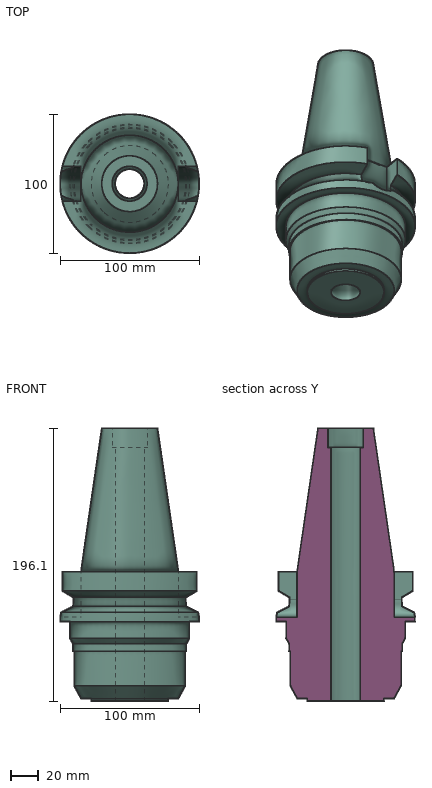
import cadquery as cq

total_height = 196.1
flange_radius = 50.0

lip_radius = 27.7
lip_height = 1.8
nose_tip_radius = 35.0
nose_radius = 40.0
nose_chamfer_top = 11.2
band_radius = 40.8
band_bottom = 35.7
band_top = 41.2
collar_radius = 43.0
collar_bottom = 45.1

flange_bottom = 57.0
lower_rim_top = 63.7
groove_radius = 42.4
groove_bottom = 68.0
groove_top = 74.5
upper_rim_bottom = 79.2
flange_top = 93.1

taper_base_radius = 35.0
taper_base = 94.3
taper_rate = 7 / 24
taper_tip_radius = taper_base_radius - (total_height - taper_base) * taper_rate / 2

bore_radius = 10.4
counterbore_radius = 12.5
counterbore_depth = 13.7

key_width = 25.3
key_bottom = 60.5
key_floor_x = 35.1


def turned_body():
    """Solid of revolution for the nose, flange and taper."""
    profile = [
        (0, 0),
        (lip_radius, 0),
        (lip_radius, lip_height),
        (nose_tip_radius, lip_height),
        (nose_radius, nose_chamfer_top),
        (nose_radius, band_bottom),
        (band_radius, band_bottom),
        (band_radius, band_top),
        (collar_radius, collar_bottom),
        (collar_radius, flange_bottom),
        (flange_radius, flange_bottom),
        (flange_radius, lower_rim_top),
        (groove_radius, groove_bottom),
        (groove_radius, groove_top),
        (flange_radius, upper_rim_bottom),
        (flange_radius, flange_top),
        (taper_base_radius, flange_top),
        (taper_base_radius, taper_base),
        (taper_tip_radius, total_height),
        (0, total_height),
    ]
    return cq.Workplane("XZ").polyline(profile).close().revolve(360, (0, 0, 0), (0, 1, 0))


def keyway(side):
    """Round-bottomed slot cutter, open at the flange top; side is +1 or -1 along X."""
    half_width = key_width / 2
    arc_center_z = key_bottom + half_width
    return (
        cq.Workplane("YZ", origin=(side * key_floor_x, 0, 0))
        .moveTo(-half_width, total_height)
        .lineTo(-half_width, arc_center_z)
        .threePointArc((0, key_bottom), (half_width, arc_center_z))
        .lineTo(half_width, total_height)
        .close()
        .extrude(side * flange_radius)
    )


def stepped_bore():
    """Through bore with its counterbore at the tip of the taper."""
    bore = cq.Workplane("XY").circle(bore_radius).extrude(total_height)
    counterbore = (
        cq.Workplane("XY", origin=(0, 0, total_height - counterbore_depth))
        .circle(counterbore_radius)
        .extrude(counterbore_depth)
    )
    return bore.union(counterbore)


result = turned_body().cut(stepped_bore())
for side in (-1, 1):
    result = result.cut(keyway(side))